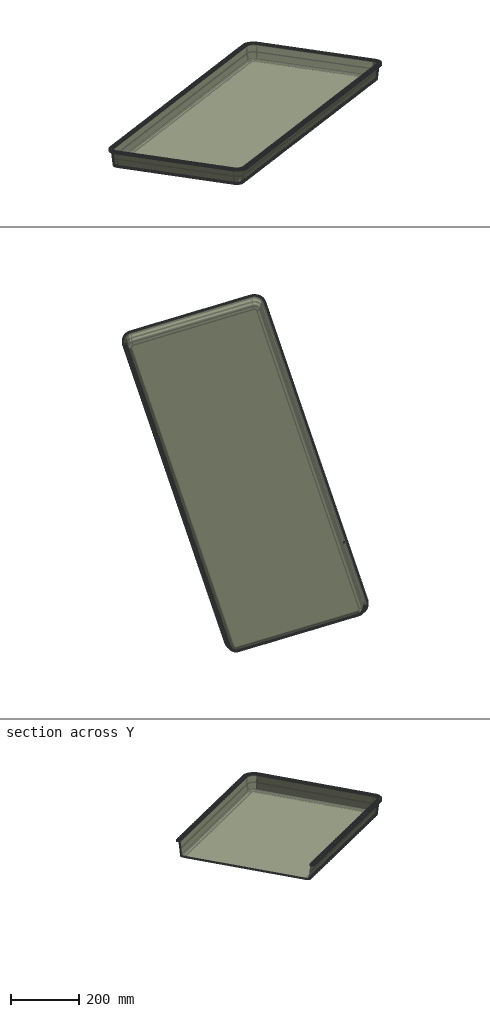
import cadquery as cq
import math

width = 435.0
length = 1045.0
height = 50.0
corner_radius = 32.0

thickness = 2.6

inner_foot_radius = 2.0
outer_foot_radius = 3.7
rim_radius = 2.0

mouth_inset = 9.3
foot_inset = 15.0
floor_inset = 25.0

fold_height = 25.6

inner_upper_draft = 6.2
outer_upper_draft = 7.2
outer_lower_draft = 6.6
border_slope = 4.3


def tangent(angle):
    return math.tan(math.radians(angle))


def near(point):
    """Select the corner of the section at the given point."""
    x, z = point
    reach = 0.1
    return cq.selectors.BoxSelector((x - reach, z - reach, -reach), (x + reach, z + reach, reach))


def wall_section():
    """Section through rim, wall and sloping border: each point is (inset, height)."""
    border_rise = (floor_inset - foot_inset) * tangent(border_slope)
    rim_underside = height - thickness

    inner_fold_inset = mouth_inset + (height - fold_height) * tangent(inner_upper_draft)
    inner_foot = (foot_inset, thickness + border_rise)

    outer_top_inset = mouth_inset - thickness + thickness * tangent(outer_upper_draft)
    outer_top = (outer_top_inset, rim_underside)
    outer_fold_inset = outer_top_inset + (rim_underside - fold_height) * tangent(outer_upper_draft)
    outer_foot_inset = outer_fold_inset + (fold_height - border_rise) * tangent(outer_lower_draft)
    outer_foot = (outer_foot_inset, border_rise)

    corners = [
        (mouth_inset, height),
        (inner_fold_inset, fold_height),
        inner_foot,
        (floor_inset, thickness),
        (floor_inset, 0),
        outer_foot,
        (outer_fold_inset, fold_height),
        outer_top,
        (0, rim_underside),
        (0, height),
    ]
    section = cq.Sketch().polygon(corners + corners[:1])
    section = section.vertices(near(inner_foot)).fillet(inner_foot_radius).reset()
    section = section.vertices(near(outer_foot)).fillet(outer_foot_radius).reset()
    return section.vertices(near(outer_top)).fillet(rim_radius).reset()


def rounded_plate(inset, plate_height):
    """Plate standing on z = 0, its outline set in from the outer edge of the rim."""
    plate = cq.Workplane("XY").rect(width - 2 * inset, length - 2 * inset).extrude(plate_height)
    return plate.edges("|Z").fillet(corner_radius - inset)


rim_outline = rounded_plate(0, height).faces("<Z").wires()
surround = (
    cq.Workplane("XZ", origin=(-width / 2, 0, 0))
    .placeSketch(wall_section())
    .sweep(cq.Workplane("XY").newObject([rim_outline.val()]))
)

floor = rounded_plate(floor_inset, thickness)

result = surround.union(floor)